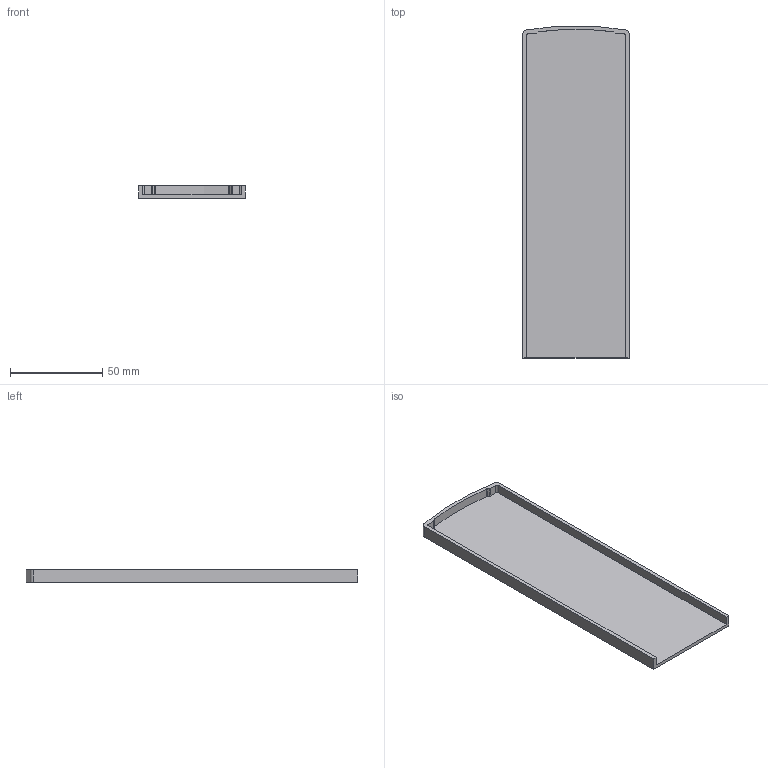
import cadquery as cq
import math

width = 57.5
height = 7.0
total_length = 179.76
side_length = 177.0
wall = 2.0
floor_thickness = 2.0
outer_corner_radius = 2.0
inner_corner_radius = 1.0

shoulder_y = 175.3
ramp_outer_half_width = 21.35
ramp_inner_half_width = 20.0
ramp_blend_radius = 0.8

half_width = width / 2
inner_half_width = half_width - wall
bow_rise = total_length - side_length
bow_radius = (half_width**2 + bow_rise**2) / (2 * bow_rise)
bow_center_y = total_length - bow_radius
inner_bow_radius = bow_radius - wall
recess_end_y = bow_center_y + math.sqrt(inner_bow_radius**2 - ramp_inner_half_width**2)


def upright_edges_at(body, x, y):
    """Vertical edges of the body at (x, y) and at its mirror image (-x, y)."""
    reach = 0.01
    left, right = (
        cq.selectors.BoxSelector(
            (side * x - reach, y - reach, 0),
            (side * x + reach, y + reach, height),
        )
        for side in (-1, 1)
    )
    return body.edges(left + right)


def outer_body():
    """Solid tray outline at full height, with a bowed far end and rounded corners."""
    block = (
        cq.Workplane("XY")
        .moveTo(-half_width, 0)
        .lineTo(half_width, 0)
        .lineTo(half_width, side_length)
        .threePointArc((0, total_length), (-half_width, side_length))
        .close()
        .extrude(height)
    )
    return upright_edges_at(block, half_width, side_length).fillet(outer_corner_radius)


def cavity():
    """Pocket above the floor, open at the top and at the near end."""
    pocket = (
        cq.Workplane("XY", origin=(0, 0, floor_thickness))
        .moveTo(-inner_half_width, 0)
        .lineTo(inner_half_width, 0)
        .lineTo(inner_half_width, shoulder_y)
        .lineTo(ramp_outer_half_width, shoulder_y)
        .lineTo(ramp_inner_half_width, recess_end_y)
        .threePointArc((0, total_length - wall), (-ramp_inner_half_width, recess_end_y))
        .lineTo(-ramp_outer_half_width, shoulder_y)
        .lineTo(-inner_half_width, shoulder_y)
        .close()
        .extrude(height - floor_thickness)
    )
    pocket = upright_edges_at(pocket, inner_half_width, shoulder_y).fillet(inner_corner_radius)
    pocket = upright_edges_at(pocket, ramp_outer_half_width, shoulder_y).fillet(ramp_blend_radius)
    return upright_edges_at(pocket, ramp_inner_half_width, recess_end_y).fillet(ramp_blend_radius)


result = outer_body().cut(cavity())